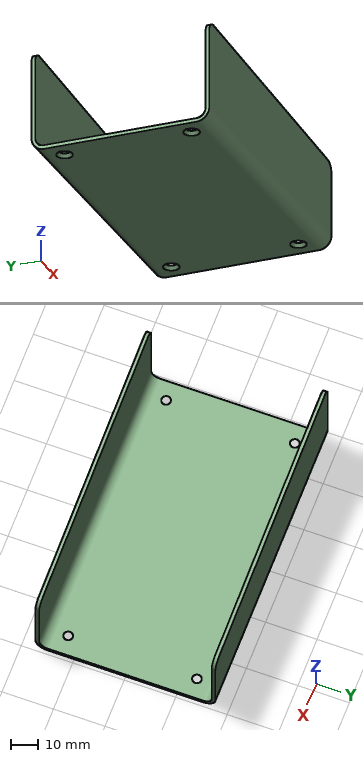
import math

import cadquery as cq

length = 117.0
width = 70.0

tall_end_height = 40.0
top_edge_slope_degrees = 3.0
top_edge_drop = length * math.tan(math.radians(top_edge_slope_degrees))
short_end_height = tall_end_height - top_edge_drop
corner_radius = 4.0

thickness = 1.5
outer_bend_radius = 5.0
inner_bend_radius = outer_bend_radius - thickness

hole_diameter = 3.5
hole_spacing_x = 102.0
hole_spacing_y = 50.0
straight_hole_depth = 0.2
countersink_angle_degrees = 90.0
countersink_depth = thickness - straight_hole_depth
countersink_flare = countersink_depth * math.tan(math.radians(countersink_angle_degrees / 2))
countersink_diameter = hole_diameter + 2 * countersink_flare


def make_rounded_block(block_width, bottom_z, bend_radius):
    """Block along X, centred in X and Y, with its two lower long edges rounded."""
    return (
        cq.Workplane("XY", origin=(0, 0, bottom_z))
        .box(length, block_width, tall_end_height, centered=(True, True, False))
        .edges("|X and <Z")
        .fillet(bend_radius)
    )


def make_channel():
    """Bent U-shaped sheet running along X, with its underside at Z = 0."""
    outside = make_rounded_block(width, 0, outer_bend_radius)
    inside = make_rounded_block(width - 2 * thickness, thickness, inner_bend_radius)
    return outside.cut(inside)


def make_side_outline():
    """Block with the side wall outline: sloping top edge and rounded upper corners."""
    return (
        cq.Workplane("XZ")
        .moveTo(-length / 2, 0)
        .lineTo(length / 2, 0)
        .lineTo(length / 2, short_end_height)
        .lineTo(-length / 2, tall_end_height)
        .close()
        .extrude(width / 2, both=True)
        .edges("|Y and (not <Z)")
        .fillet(corner_radius)
    )


def cut_mounting_holes(body):
    """Cut four through holes whose countersinks open on the floor's underside."""
    return (
        body.copyWorkplane(cq.Workplane("XY").transformed(rotate=(180, 0, 0)))
        .rect(hole_spacing_x, hole_spacing_y, forConstruction=True)
        .vertices()
        .cskHole(hole_diameter, countersink_diameter, countersink_angle_degrees, depth=thickness)
    )


channel = make_channel().intersect(make_side_outline())
result = cut_mounting_holes(channel)